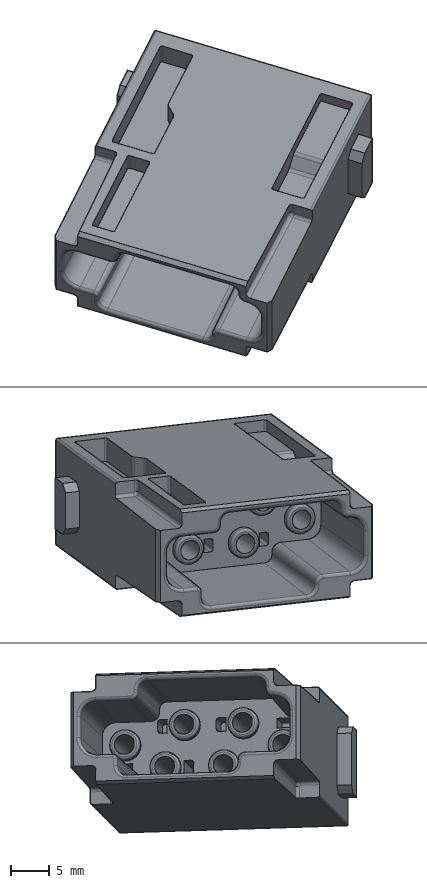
import cadquery as cq

body_width = 30.35
body_length = 36.2
body_height = 14.6
total_width = 34.2
front_y = -body_length / 2
back_y = body_length / 2
top_z = body_height / 2
edge_round = 0.3

nose_length = 0.7
nose_side_inset = 0.45
nose_top_inset = 0.33

notch_end_y = -3.08
notch_width_back = 3.1
notch_width_front = 3.4
notch_depth_back = 2.1
notch_depth_front = 2.4
notch_long_round = 0.58
notch_end_round = 0.45

cavity_floor_y = notch_end_y
cavity_taper_degrees = 1.0
mouth_round = 0.45
cavity_half_width = 13.83
cavity_half_height = 6.23
shoulder_z = 3.7
low_left_shoulder_z = 3.45
upper_left_x = -6.25
upper_right_x = 10.68
lower_left_x = -8.95
lower_right_x = 7.0
side_corner_round = 2.03
low_left_corner_round = 2.3
step_corner_round = 1.25
shoulder_round = 0.98
low_left_shoulder_round = 0.6

contacts = [
    (-10.45, 0.33, 270),
    (-2.6, 2.75, 180),
    (5.15, 2.75, 180),
    (10.45, -0.33, 90),
    (2.6, -2.75, 0),
    (-5.15, -2.75, 0),
]
contact_hole_radius = 1.3
collar_radius = 2.0
collar_height = 1.1
collar_round = 0.35

slot_near = 2.4
slot_far = 3.65
slot_through_width = 0.55
slot_length = 1.8
slot_shelf_depth = 3.62
slot_corner_round = 0.45

pocket_outer_x = 13.43
pocket_inner_x = 8.9
pocket_wide_x = 7.5
pocket_back_y = 15.93
pocket_front_y = -1.63
pocket_corner_round = 0.3
left_pocket_depth = 3.2
jog_y = 6.15
jog_round = 0.72
front_pocket_outer_x = 10.6
front_pocket_back_y = -3.05
front_pocket_front_y = -15.9
front_pocket_depth = 2.55
right_pocket_shallow = 1.55
right_pocket_deep = 2.95
ramp_back_y = 6.37
ramp_front_y = 4.55
ramp_round = 0.9

lug_back_y = 13.45
lug_front_y = 9.75
lug_chamfer = 1.0
left_lug_height = 6.95
right_lug_height = 8.87


def box_between(x0, x1, y0, y1, z0, z1):
    """Axis-aligned box given by its two ends along each axis."""
    return cq.Workplane("XY").box(x1 - x0, y1 - y0, z1 - z0, centered=False).translate((x0, y0, z0))


def make_block():
    shoulder_y = front_y + nose_length
    block = box_between(-body_width / 2, body_width / 2, shoulder_y, back_y, -top_z, top_z)
    block = block.edges("|Y").fillet(edge_round)
    nose = (
        cq.Workplane("XZ", origin=(0, shoulder_y, 0))
        .rect(body_width, body_height)
        .workplane(offset=nose_length)
        .rect(body_width - 2 * nose_side_inset, body_height - 2 * nose_top_inset)
        .loft(ruled=True)
    )
    return block.union(nose)


def make_lug(side, height):
    lug = box_between(0, total_width / 2, lug_front_y, lug_back_y, -height / 2, height / 2)
    lug = lug.edges("|X and <Y").chamfer(lug_chamfer)
    return lug if side > 0 else lug.mirror("YZ")


def make_notch():
    """Tapered cutter for the notch at the +X, +Z corner, reaching past the block on its open sides."""
    margin = 1.8
    notch_run = notch_end_y - front_y
    outer_x = body_width / 2 + margin
    outer_z = top_z + margin

    def section(y, width, depth):
        inner_x = body_width / 2 - width
        inner_z = top_z - depth
        corners = [(inner_x, y, inner_z), (outer_x, y, inner_z), (outer_x, y, outer_z), (inner_x, y, outer_z)]
        return cq.Wire.makePolygon([cq.Vector(*corner) for corner in corners], close=True)

    back = section(notch_end_y, notch_width_back, notch_depth_back)
    front = section(front_y, notch_width_front, notch_depth_front)
    cutter = cq.Workplane(obj=cq.Solid.makeLoft([back, front], True))
    inner_corner = (body_width / 2 - notch_width_front, front_y + notch_run / 2, top_z - notch_depth_front)
    cutter = cutter.edges(cq.selectors.NearestToPointSelector(inner_corner)).fillet(notch_long_round)
    return cutter.faces(">Y").edges("<Z").fillet(notch_end_round)


def make_cavity():
    """Stepped cavity, narrowing towards its floor, with rounded corners."""
    corners = [
        (-cavity_half_width, shoulder_z, side_corner_round),
        (upper_left_x, shoulder_z, shoulder_round),
        (upper_left_x, cavity_half_height, step_corner_round),
        (upper_right_x, cavity_half_height, step_corner_round),
        (upper_right_x, shoulder_z, shoulder_round),
        (cavity_half_width, shoulder_z, side_corner_round),
        (cavity_half_width, -shoulder_z, side_corner_round),
        (lower_right_x, -shoulder_z, shoulder_round),
        (lower_right_x, -cavity_half_height, step_corner_round),
        (lower_left_x, -cavity_half_height, step_corner_round),
        (lower_left_x, -low_left_shoulder_z, low_left_shoulder_round),
        (-cavity_half_width, -low_left_shoulder_z, low_left_corner_round),
    ]
    outline = cq.Wire.makePolygon([cq.Vector(x, z) for x, z, _ in corners], close=True)
    for x, z, radius in corners:
        sharp_corner = min(outline.Vertices(), key=lambda vertex: (vertex.Center() - cq.Vector(x, z)).Length)
        outline = outline.fillet2D(radius, [sharp_corner])
    plane = cq.Workplane("XZ", origin=(0, front_y, 0))
    wire = outline.moved(plane.plane.location)
    depth = cavity_floor_y - front_y
    return plane.newObject([wire]).toPending().extrude(-depth, taper=cavity_taper_degrees)


def make_collar(x, z):
    """Raised ring around a contact hole, standing on the cavity floor."""
    collar = cq.Workplane("XZ", origin=(x, cavity_floor_y, z)).circle(collar_radius).extrude(collar_height)
    return collar.faces("<Y").edges().fillet(collar_round)


def make_contact_hole(x, z):
    start_y = cavity_floor_y - collar_height
    return cq.Workplane("XZ", origin=(x, start_y, z)).circle(contact_hole_radius).extrude(start_y - back_y)


def make_latch_slot(x, z, angle):
    """Recess with a shelf, and a narrower slit next to the hole that runs out of the back."""
    plane = cq.Workplane("XZ", origin=(x, cavity_floor_y, z)).transformed(rotate=(0, 0, angle))
    recess = plane.center((slot_near + slot_far) / 2, 0).rect(slot_far - slot_near, slot_length)
    recess = recess.extrude(-slot_shelf_depth)
    if angle in (0, 180):
        far_side = ">X" if angle == 0 else "<X"
        recess = recess.faces(far_side).edges("|Y").fillet(slot_corner_round)
    slit = plane.center(slot_near + slot_through_width / 2, 0).rect(slot_through_width, slot_length)
    return recess.union(slit.extrude(cavity_floor_y - back_y))


def make_left_pocket():
    jog_half = (pocket_inner_x - pocket_wide_x) / 2
    jog_back = (-pocket_inner_x, jog_y + jog_half)
    jog_front = (-pocket_wide_x, jog_y - jog_half)
    outline = [
        (-pocket_outer_x, pocket_back_y),
        (-pocket_inner_x, pocket_back_y),
        jog_back,
        jog_front,
        (-pocket_wide_x, pocket_front_y),
        (-pocket_outer_x, pocket_front_y),
    ]
    pocket = cq.Workplane("XY", origin=(0, 0, top_z)).polyline(outline).close().extrude(-left_pocket_depth)
    for x, y in (jog_back, jog_front):
        edge = cq.selectors.NearestToPointSelector((x, y, top_z - left_pocket_depth / 2))
        pocket = pocket.edges(edge).fillet(jog_round)
    ends = pocket.faces("<Y or >Y").edges("|Z")
    return ends.fillet(pocket_corner_round)


def make_front_pocket():
    pocket = box_between(
        -front_pocket_outer_x, -pocket_wide_x,
        front_pocket_front_y, front_pocket_back_y,
        top_z - front_pocket_depth, top_z,
    )
    return pocket.edges("|Z").fillet(pocket_corner_round)


def make_right_pocket():
    """Pocket whose floor ramps down towards the front."""
    ramp_top = (ramp_back_y, top_z - right_pocket_shallow)
    ramp_bottom = (ramp_front_y, top_z - right_pocket_deep)
    profile = [
        (pocket_back_y, top_z),
        (pocket_back_y, top_z - right_pocket_shallow),
        ramp_top,
        ramp_bottom,
        (pocket_front_y, top_z - right_pocket_deep),
        (pocket_front_y, top_z),
    ]
    width = pocket_outer_x - pocket_inner_x
    pocket = cq.Workplane("YZ", origin=(pocket_inner_x, 0, 0)).polyline(profile).close().extrude(width)
    for y, z in (ramp_top, ramp_bottom):
        edge = cq.selectors.NearestToPointSelector((pocket_inner_x + width / 2, y, z))
        pocket = pocket.edges(edge).fillet(ramp_round)
    return pocket.edges("|Z").fillet(pocket_corner_round)


def make_part():
    part = make_block()
    part = part.union(make_lug(-1, left_lug_height)).union(make_lug(1, right_lug_height))

    notch = make_notch()
    upper_notches = notch.union(notch.mirror("YZ"))
    part = part.cut(upper_notches).cut(upper_notches.mirror("XY"))

    part = part.cut(make_cavity())
    mouth = part.faces("<Y").val().innerWires()[0]
    part = part.newObject(mouth.Edges()).fillet(mouth_round)

    for x, z, _ in contacts:
        part = part.union(make_collar(x, z))
    for x, z, slot_angle in contacts:
        part = part.cut(make_contact_hole(x, z)).cut(make_latch_slot(x, z, slot_angle))

    return part.cut(make_left_pocket()).cut(make_front_pocket()).cut(make_right_pocket())


result = make_part()